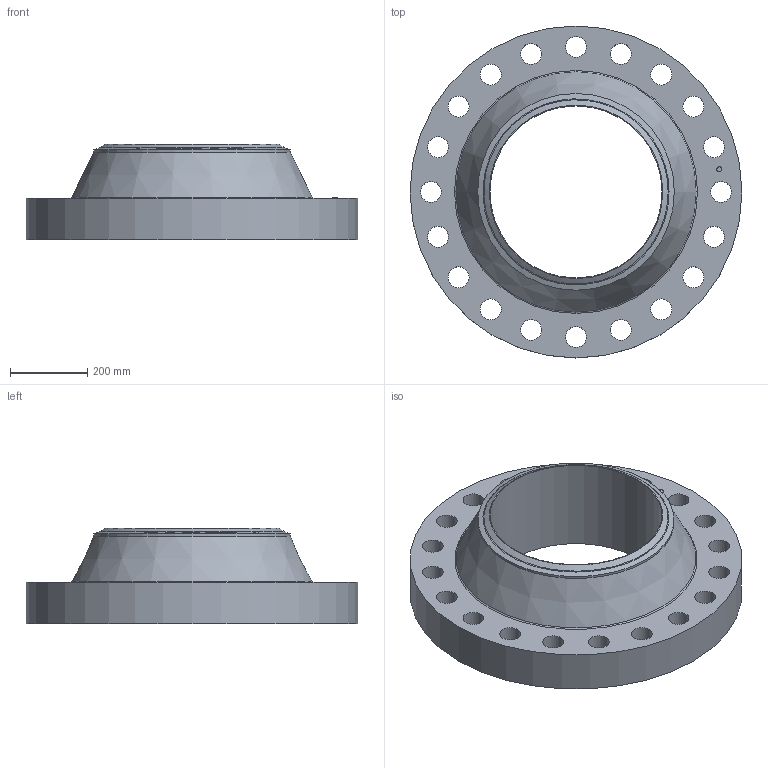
import cadquery as cq
import math

FLANGE_DIAMETER = 857.25
FLANGE_THICKNESS = 107.95
OVERALL_HEIGHT = 247.65
BORE_DIAMETER = 444.5

HUB_BASE_DIAMETER = 622.3
HUB_BASE_FILLET = 4.0
NECK_DIAMETER = 508.0
NECK_BAND = 6.0

LAND_DIAMETER = 448.0
BEVEL_KNEE_DIAMETER = 478.0
UPPER_BEVEL_HEIGHT = 10.0
LOWER_BEVEL_HEIGHT = 5.0
BEVEL_KNEE_FILLET = 10.0

BOLT_CIRCLE_DIAMETER = 749.3
BOLT_HOLE_DIAMETER = 54.0
BOLT_COUNT = 20
BOLT_PITCH_ANGLE = 360 / BOLT_COUNT

MARKER_DIAMETER = 12.7
MARKER_HEIGHT = 1.0


def polar_point(radius, angle_degrees):
    """Return the XY point at a radius and angle about the flange axis."""
    angle = math.radians(angle_degrees)
    return (radius * math.cos(angle), radius * math.sin(angle))


def flange_body():
    """Revolve the half section of flange, hub and weld bevel about Z."""
    bevel_knee_z = OVERALL_HEIGHT - UPPER_BEVEL_HEIGHT
    neck_top_z = bevel_knee_z - LOWER_BEVEL_HEIGHT
    section = [
        (BORE_DIAMETER / 2, 0),
        (FLANGE_DIAMETER / 2, 0),
        (FLANGE_DIAMETER / 2, FLANGE_THICKNESS),
        (HUB_BASE_DIAMETER / 2, FLANGE_THICKNESS),
        (NECK_DIAMETER / 2, neck_top_z - NECK_BAND),
        (NECK_DIAMETER / 2, neck_top_z),
        (BEVEL_KNEE_DIAMETER / 2, bevel_knee_z),
        (LAND_DIAMETER / 2, OVERALL_HEIGHT),
        (BORE_DIAMETER / 2, OVERALL_HEIGHT),
    ]
    body = cq.Workplane("XZ").polyline(section).close().revolve(360, (0, 0), (0, 1))
    third_smallest_radius = cq.selectors.RadiusNthSelector(2)
    body = body.edges("%CIRCLE").edges(third_smallest_radius).fillet(BEVEL_KNEE_FILLET)
    second_largest_radius = cq.selectors.RadiusNthSelector(-2)
    return body.edges("%CIRCLE").edges(second_largest_radius).fillet(HUB_BASE_FILLET)


def bolt_holes():
    """Through holes evenly spaced on the bolt circle, the first on +X."""
    centres = [polar_point(BOLT_CIRCLE_DIAMETER / 2, i * BOLT_PITCH_ANGLE) for i in range(BOLT_COUNT)]
    return cq.Workplane("XY").pushPoints(centres).circle(BOLT_HOLE_DIAMETER / 2).extrude(FLANGE_THICKNESS)


def marker_boss():
    """Low disc on the flange top, on the bolt circle half a pitch round from +X."""
    centre = polar_point(BOLT_CIRCLE_DIAMETER / 2, BOLT_PITCH_ANGLE / 2)
    top_face = cq.Workplane("XY", origin=(0, 0, FLANGE_THICKNESS))
    return top_face.pushPoints([centre]).circle(MARKER_DIAMETER / 2).extrude(MARKER_HEIGHT)


result = flange_body().cut(bolt_holes()).union(marker_boss())